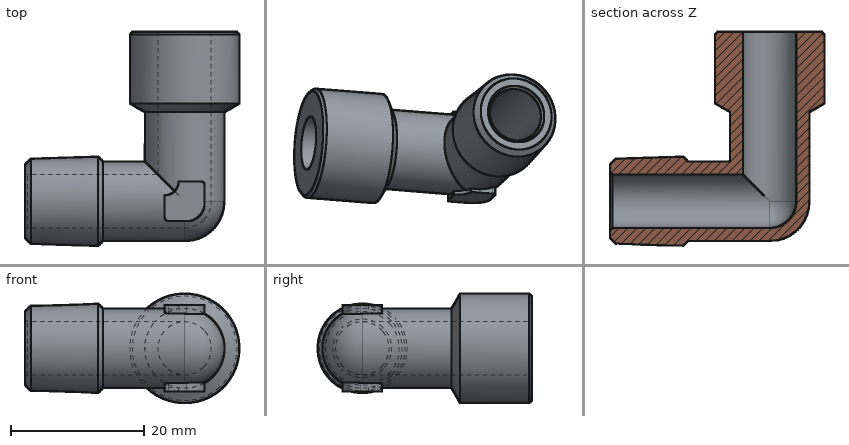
import cadquery as cq
import math


tube_radius = 12.0 / 2
bore_radius = 8.0 / 2

male_length = 24.0
male_shoulder = 13.0
male_max_radius = 6.73
male_taper = 1 / 16
male_tip_chamfer = 0.87
male_mouth_chamfer = 0.4

socket_length = 25.5
socket_shoulder = 14.7
socket_radius = 16.5 / 2
socket_cone_angle = 30.0
socket_rim_drop = 0.45
socket_rim_inset = 0.4

pad_half_width = 3.0
pad_height = 6.5
pad_corner_radius = 0.6
pad_outer_radius = 2.7
pad_inner_radius = 2.1


def male_end():
    """Solid leg along -X: tube, back chamfer, tapered spigot and tip chamfer."""
    taper_end = male_length - male_tip_chamfer
    taper_end_radius = male_max_radius - (taper_end - male_shoulder) * male_taper / 2
    back_chamfer = male_max_radius - tube_radius
    return (
        cq.Workplane("XY")
        .moveTo(0, 0)
        .lineTo(0, tube_radius)
        .lineTo(-male_shoulder + back_chamfer, tube_radius)
        .lineTo(-male_shoulder, male_max_radius)
        .lineTo(-taper_end, taper_end_radius)
        .lineTo(-male_length, taper_end_radius - male_tip_chamfer)
        .lineTo(-male_length, 0)
        .close()
        .revolve(360, (0, 0), (1, 0))
    )


def female_end():
    """Solid leg along +Y: tube, conical shoulder and socket with a bevelled rim."""
    cone_length = (socket_radius - tube_radius) * math.tan(math.radians(socket_cone_angle))
    return (
        cq.Workplane("XY")
        .moveTo(0, 0)
        .lineTo(tube_radius, 0)
        .lineTo(tube_radius, socket_shoulder - cone_length)
        .lineTo(socket_radius, socket_shoulder)
        .lineTo(socket_radius, socket_length - socket_rim_drop)
        .lineTo(socket_radius - socket_rim_inset, socket_length)
        .lineTo(0, socket_length)
        .close()
        .revolve(360, (0, 0), (0, 1))
    )


def pads():
    """Prism through the corner whose two ends stand out as flat pads."""
    width = 2 * pad_half_width
    block = cq.Workplane("XY").box(width, width, 2 * pad_height)
    block = block.edges("|Z and >X and <Y").fillet(pad_outer_radius)
    block = block.edges("|Z and (<(1, 1, 0) or >(1, 1, 0))").fillet(pad_corner_radius)
    inner_notch = (
        cq.Workplane("XY")
        .center(-pad_half_width, pad_half_width)
        .circle(pad_inner_radius)
        .extrude(pad_height, both=True)
    )
    return block.cut(inner_notch)


def bore():
    """Passage through both legs, rounded at the corner, with a chamfered male mouth."""
    mouth_radius = bore_radius + male_mouth_chamfer
    male_bore = (
        cq.Workplane("XY")
        .moveTo(0, 0)
        .lineTo(0, bore_radius)
        .lineTo(-male_length + male_mouth_chamfer, bore_radius)
        .lineTo(-male_length, mouth_radius)
        .lineTo(-male_length, 0)
        .close()
        .revolve(360, (0, 0), (1, 0))
    )
    female_bore = cq.Workplane("XZ").circle(bore_radius).extrude(-socket_length)
    corner = cq.Workplane("XY").sphere(bore_radius)
    return male_bore.union(female_bore).union(corner)


corner_ball = cq.Workplane("XY").sphere(tube_radius)
body = male_end().union(female_end()).union(corner_ball).union(pads())
result = body.cut(bore())